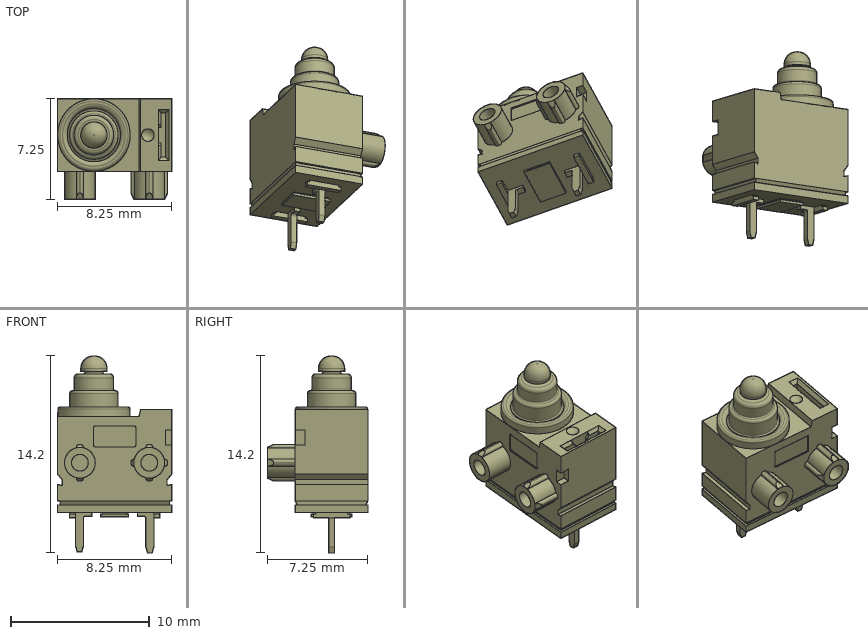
import cadquery as cq
import math

overlap = 0.07

width = 8.25
depth = 5.25
mid_x = width / 2
mid_y = depth / 2
shoulder_z = 6.93
top_z = 7.44
step_foot_x = 5.86
step_head_x = 5.99
cap_height = 0.57
housing_bottom_z = 0.85
neck_inset_x = 0.17
neck_inset_y = 0.14

groove_depth = 0.34
groove_upper_z = 2.78
groove_wall_top_z = 2.37
groove_wall_bottom_z = 1.96
groove_lower_z = 2.05

plunger_x = 2.63
collar_base_radius = 5.24 / 2
collar_radius = 5.2 / 2
collar_top_z = 7.61
collar_edge = 0.14
bowl_top_radius = 4.5 / 2
bowl_rounding = 0.34
bowl_floor_z = 7.35
lower_radius = 3.5 / 2
lower_top_z = 8.79
lower_rounding = 0.21
seal_foot_rounding = 0.1
upper_radius = 2.85 / 2
upper_top_z = 10.0
upper_rounding = 0.3
stem_radius = 0.65
stem_rounding = 0.1
button_radius = 1.9 / 2
button_bottom_z = 10.17
button_top_z = 11.29
button_rounding = 0.91

post_z = 3.59
left_post_x = 1.62
right_post_x = 6.62
post_radius = 1.11
post_length = 2.0
post_hole_diameter = 1.2
post_hole_depth = post_length
rib_width = 0.51
rib_reach = 1.32
rib_rounding = 0.23
rib_lead_in = 0.45

label_width = 3.04
label_bottom_z = 4.74
label_top_z = 6.23
label_depth = 0.1
label_corner = 0.11
notch_width = 0.48
notch_depth = 0.71
notch_bottom_z = 4.87
notch_top_z = 5.94

slot_left_x = 7.27
slot_right_x = 8.05
slot_length = 3.69
slot_depth = 0.85
mouth_taper = 0.25
mouth_left_taper = 0.18
relief_half_length = 0.77
relief_taper = 0.21
dimple_x = 6.52
dimple_radius = 0.45
dimple_depth = 0.18

pin_width = 0.6
pin_thickness = 0.44
pin_outer_x = 1.29
left_pin_length = 2.83
right_pin_length = 2.91
pin_tip_height = 0.45
pin_tip_width = 0.34
foot_inner_x = 2.48
foot_height = 0.27
foot_fillet = 0.11
bar_width = 0.43
bar_length = 2.63
bar_neck_length = 2.3
bar_height = 0.38
plate_width = 2.02
plate_length = 2.94
plate_bottom_z = -0.31
plate_neck_width = 1.76
plate_neck_length = 2.68
plate_neck_height = 0.11


def box(x_range, y_range, z_range):
    """Axis-aligned box between the given limits."""
    (x0, x1), (y0, y1), (z0, z1) = x_range, y_range, z_range
    return cq.Workplane("XY").box(x1 - x0, y1 - y0, z1 - z0, centered=False).translate((x0, y0, z0))


def centred_box(center_x, size_x, size_y, z_range):
    """Box centred on the depth of the housing."""
    half_x, half_y = size_x / 2, size_y / 2
    return box((center_x - half_x, center_x + half_x), (mid_y - half_y, mid_y + half_y), z_range)


def make_housing():
    """Housing with a raised end, side grooves, a waisted neck and a flat bottom cap."""
    outline = [
        (0, housing_bottom_z), (0, groove_lower_z),
        (groove_depth, groove_wall_bottom_z), (groove_depth, groove_wall_top_z), (0, groove_upper_z),
        (0, shoulder_z), (step_foot_x, shoulder_z), (step_head_x, top_z), (width, top_z),
        (width, groove_upper_z), (width - groove_depth, groove_wall_top_z),
        (width - groove_depth, groove_wall_bottom_z), (width, groove_lower_z), (width, housing_bottom_z),
    ]
    housing = cq.Workplane("XZ").polyline(outline).close().extrude(-depth)
    neck_profile = [
        (0, housing_bottom_z), (neck_inset_y, cap_height),
        (depth - neck_inset_y, cap_height), (depth, housing_bottom_z),
    ]
    neck = cq.Workplane("YZ", origin=(neck_inset_x, 0, 0)).polyline(neck_profile).close()
    neck = neck.extrude(width - 2 * neck_inset_x)
    cap = box((0, width), (0, depth), (0, cap_height))
    return housing.union(neck).union(cap)


def make_plunger():
    """Turned collar, two-step rubber seal, stem and domed button."""
    diagonal = math.sqrt(0.5)
    base_z = shoulder_z - overlap
    bowl_center_z = collar_top_z - bowl_rounding
    bowl_angle = math.asin((bowl_floor_z - bowl_center_z) / bowl_rounding)
    bowl_middle_angle = (bowl_angle + math.pi / 2) / 2

    def bowl_point(angle):
        """Point on the rounded inner rim of the collar, angle measured up from horizontal."""
        inward = bowl_rounding * math.cos(angle)
        upward = bowl_rounding * math.sin(angle)
        return (bowl_top_radius - inward, bowl_center_z + upward)

    def corner(profile, center_r, center_z, radius, direction_r, direction_z, end):
        """Quarter arc whose middle lies diagonally from its centre."""
        middle = (center_r + direction_r * radius * diagonal, center_z + direction_z * radius * diagonal)
        return profile.threePointArc(middle, end)

    p = cq.Workplane("XZ").moveTo(0, base_z).lineTo(collar_base_radius, base_z)
    p = p.lineTo(collar_radius, collar_top_z - collar_edge)
    p = corner(p, collar_radius - collar_edge, collar_top_z - collar_edge, collar_edge, 1, 1,
               (collar_radius - collar_edge, collar_top_z))
    p = p.lineTo(bowl_top_radius, collar_top_z)
    p = p.threePointArc(bowl_point(bowl_middle_angle), bowl_point(bowl_angle))
    p = p.lineTo(lower_radius + seal_foot_rounding, bowl_floor_z)
    p = corner(p, lower_radius + seal_foot_rounding, bowl_floor_z + seal_foot_rounding,
               seal_foot_rounding, -1, -1, (lower_radius, bowl_floor_z + seal_foot_rounding))
    p = p.lineTo(lower_radius, lower_top_z - lower_rounding)
    p = corner(p, lower_radius - lower_rounding, lower_top_z - lower_rounding, lower_rounding, 1, 1,
               (lower_radius - lower_rounding, lower_top_z))
    p = p.lineTo(upper_radius + seal_foot_rounding, lower_top_z)
    p = corner(p, upper_radius + seal_foot_rounding, lower_top_z + seal_foot_rounding,
               seal_foot_rounding, -1, -1, (upper_radius, lower_top_z + seal_foot_rounding))
    p = p.lineTo(upper_radius, upper_top_z - upper_rounding)
    p = corner(p, upper_radius - upper_rounding, upper_top_z - upper_rounding, upper_rounding, 1, 1,
               (upper_radius - upper_rounding, upper_top_z))
    p = p.lineTo(stem_radius + stem_rounding, upper_top_z)
    p = corner(p, stem_radius + stem_rounding, upper_top_z + stem_rounding, stem_rounding, -1, -1,
               (stem_radius, upper_top_z + stem_rounding))
    p = p.lineTo(stem_radius, button_bottom_z).lineTo(button_radius, button_bottom_z)
    p = p.lineTo(button_radius, button_top_z - button_rounding)
    p = corner(p, button_radius - button_rounding, button_top_z - button_rounding, button_rounding, 1, 1,
               (button_radius - button_rounding, button_top_z))
    p = p.lineTo(0, button_top_z).close()
    return p.revolve(360, (0, 0), (0, 1)).translate((plunger_x, mid_y, 0))


def make_post(center_x, rib_angles):
    """Hollow post on the front face, with crush ribs at the given angles."""
    post = cq.Workplane("XZ", origin=(0, overlap, 0)).circle(post_radius).extrude(post_length + overlap)
    rib = (
        box((-rib_width / 2, rib_width / 2), (-post_length, overlap), (post_radius / 2, rib_reach))
        .edges("|Y and >Z").fillet(rib_rounding)
    )
    lead_in_profile = [
        (-post_length, post_radius), (-post_length + rib_lead_in, rib_reach), (-post_length, rib_reach),
    ]
    lead_in = cq.Workplane("YZ").polyline(lead_in_profile).close().extrude(rib_width, both=True)
    rib = rib.cut(lead_in)
    for angle in rib_angles:
        post = post.union(rib.rotate((0, 0, 0), (0, 1, 0), angle))
    hole = (
        cq.Workplane("XZ", origin=(0, post_hole_depth - post_length, 0))
        .circle(post_hole_diameter / 2).extrude(post_hole_depth)
    )
    return post.cut(hole).translate((center_x, 0, post_z))


def make_label_recess():
    """Shallow rounded rectangle in the front face."""
    half = label_width / 2
    recess = box((mid_x - half, mid_x + half), (0, label_depth), (label_bottom_z, label_top_z))
    return recess.edges("|Y").fillet(label_corner)


def make_notch():
    """Rectangular notch in the front right vertical edge."""
    return box((width - notch_width, width), (0, notch_depth), (notch_bottom_z, notch_top_z))


def make_slot():
    """Straight slot with a tapered mouth and a relief in the middle of its left wall."""
    mouth_bottom_z = top_z - mouth_taper
    floor_z = top_z - slot_depth
    inner_left_x = slot_left_x + mouth_left_taper
    inner_right_x = slot_right_x - mouth_taper
    inner_length = slot_length - 2 * mouth_taper
    inner_width = inner_right_x - inner_left_x
    inner_mid_x = (inner_left_x + inner_right_x) / 2
    mouth = (
        cq.Workplane("XY", origin=(0, mid_y, mouth_bottom_z))
        .center(inner_mid_x, 0).rect(inner_width, inner_length)
        .workplane(offset=mouth_taper)
        .center((slot_left_x + slot_right_x) / 2 - inner_mid_x, 0)
        .rect(slot_right_x - slot_left_x, slot_length)
        .loft()
    )
    shaft = centred_box(inner_mid_x, inner_width, inner_length, (floor_z, mouth_bottom_z))
    inner_half = relief_half_length - relief_taper
    taper_end_z = mouth_bottom_z - relief_taper
    relief_outline = [
        (-inner_half, floor_z), (-inner_half, taper_end_z), (-relief_half_length, mouth_bottom_z),
        (-relief_half_length, top_z), (relief_half_length, top_z), (relief_half_length, mouth_bottom_z),
        (inner_half, taper_end_z), (inner_half, floor_z),
    ]
    relief = cq.Workplane("YZ", origin=(slot_left_x, mid_y, 0)).polyline(relief_outline).close()
    return mouth.union(shaft).union(relief.extrude(mouth_left_taper))


def make_dimple():
    """Spherical cap sunk into the raised top."""
    sphere_radius = (dimple_radius ** 2 + dimple_depth ** 2) / (2 * dimple_depth)
    return cq.Workplane("XY").sphere(sphere_radius).translate(
        (dimple_x, mid_y, top_z - dimple_depth + sphere_radius)
    )


def make_terminal(pin_length):
    """Left terminal: tapered pin with an L-shaped foot, and a cross bar on its outer side."""
    pin_inner_x = pin_outer_x + pin_width
    tip_inset = (pin_width - pin_tip_width) / 2
    tip_start_z = pin_tip_height - pin_length
    fillet_middle = foot_fillet * (1 - math.sqrt(0.5))
    pin = (
        cq.Workplane("XZ", origin=(0, mid_y, 0))
        .moveTo(pin_outer_x, overlap)
        .lineTo(pin_outer_x, tip_start_z)
        .lineTo(pin_outer_x + tip_inset, -pin_length)
        .lineTo(pin_inner_x - tip_inset, -pin_length)
        .lineTo(pin_inner_x, tip_start_z)
        .lineTo(pin_inner_x, -foot_height - foot_fillet)
        .threePointArc(
            (pin_inner_x + fillet_middle, -foot_height - fillet_middle),
            (pin_inner_x + foot_fillet, -foot_height),
        )
        .lineTo(foot_inner_x, -foot_height)
        .lineTo(foot_inner_x, overlap)
        .close()
        .extrude(pin_thickness / 2, both=True)
    )
    bar_x = pin_outer_x - bar_width / 2
    bar = centred_box(bar_x, bar_width, bar_length, (-bar_height, -plate_neck_height))
    bar_neck = centred_box(bar_x, bar_width, bar_neck_length, (-plate_neck_height, overlap))
    return pin.union(bar).union(bar_neck)


def make_plate():
    """Thin plate on a slightly smaller neck under the middle of the cap."""
    plate = centred_box(mid_x, plate_width, plate_length, (plate_bottom_z, -plate_neck_height))
    neck = centred_box(mid_x, plate_neck_width, plate_neck_length, (-plate_neck_height, overlap))
    return plate.union(neck)


result = make_housing()
result = result.cut(make_label_recess())
result = result.cut(make_notch())
result = result.cut(make_slot())
result = result.cut(make_dimple())
result = result.union(make_plunger())
result = result.union(make_post(left_post_x, (0, 180)))
result = result.union(make_post(right_post_x, (0, 90, 180, 270)))
result = result.union(make_plate())
result = result.union(make_terminal(left_pin_length))
result = result.union(make_terminal(right_pin_length).mirror("YZ", (mid_x, 0, 0)))